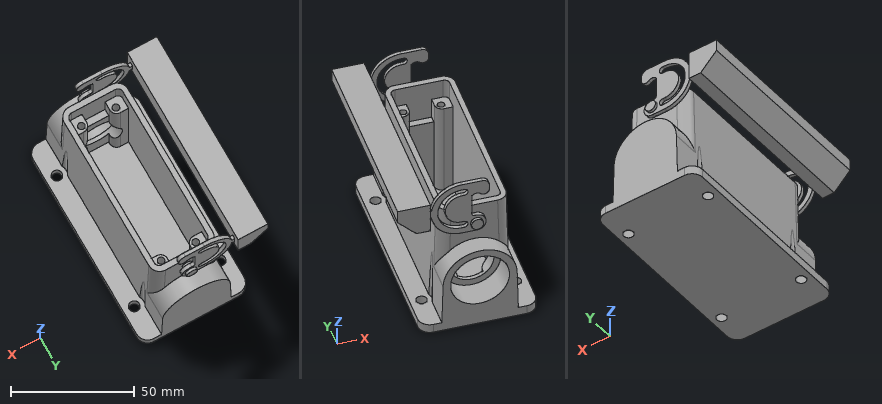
import cadquery as cq
import math

base_width = 50.1
base_length = 96.0
base_height = 4.2
base_corner_radius = 5.2
mount_hole_radius = 2.3
mount_hole_spacing_x = 40.0
mount_hole_spacing_y = 64.1
screw_relief_radius = 4.4

housing_top = 57.0
housing_length = 80.0
housing_corner_radius = 5.0
wall_draft = math.radians(1.5)

entry_height = 23.1
entry_outer_radius = 15.7
entry_bore_radius = 12.5
entry_bore_depth = 12.0
entry_hole_radius = 9.5

cavity_width = 24.8
cavity_length = 74.6
cavity_corner_radius = 2.2
floor_height = base_height
post_size = 7.0
post_inner_radius = 3.2
post_top = 48.0
post_hole_x = 8.1
post_hole_y = 33.0
post_hole_radius = 1.5
post_hole_depth = 9.6
ledge_depth = 3.1
ledge_top = 38.4

pivot_height = 50.1
pin_radius = 2.1
pin_head_radius = 2.6
pin_head_end = 44.4

arm_inner_y = 41.5
arm_thickness = 1.7
arm_outer_y = arm_inner_y + arm_thickness
arm_center_x = -6.3
arm_radius = 13.0
eye_radius = 4.0
eye_fillet = 1.2
arm_center_z = pivot_height - eye_radius + arm_radius
arm_front_x = -2.0
slot_outer_radius = 10.2
slot_width = 3.2
slot_end_x = -5.3
neck_height = 4.0

hook_front_x = 5.5
hook_top_radius = 3.1
hook_tip_radius = 2.3
hook_tip_z = 67.0
notch_radius = 2.4

bar_length = 92.1
bar_back_x = -34.5
bar_front_x = -20.5
bar_top = 67.0
bar_height = 13.8
bar_chamfer = 8.0


def wall_half_width(z):
    """Half width of the housing; its wall is tangent to the entry cylinder."""
    return (entry_outer_radius - (z - entry_height) * math.sin(wall_draft)) / math.cos(wall_draft)


def along_y(start, end):
    """Workplane for X-Z outlines at y = start, with the length to extrude to y = end."""
    return cq.Workplane("XZ", origin=(0, start, 0)), start - end


def y_cylinder(z, radius, start, end):
    plane, length = along_y(start, end)
    return plane.center(0, z).circle(radius).extrude(length)


def make_base():
    plate = cq.Workplane("XY").box(base_width, base_length, base_height, centered=(True, True, False))
    return plate.edges("|Z").fillet(base_corner_radius)


def make_upper_housing():
    half_bottom = wall_half_width(0)
    half_top = wall_half_width(housing_top)
    plane, length = along_y(-housing_length / 2, housing_length / 2)
    body = (
        plane.moveTo(-half_bottom, 0)
        .lineTo(half_bottom, 0)
        .lineTo(half_top, housing_top)
        .lineTo(-half_top, housing_top)
        .close()
        .extrude(length)
    )
    upright_corners = body.faces("<Y or >Y").edges("not(#Z)")
    return upright_corners.fillet(housing_corner_radius)


def make_entry_body():
    """Full-length lower body with a rounded top around the cable entry axis."""
    half_bottom = wall_half_width(0)
    tangent_x = entry_outer_radius * math.cos(wall_draft)
    tangent_z = entry_height + entry_outer_radius * math.sin(wall_draft)
    plane, length = along_y(-base_length / 2, base_length / 2)
    return (
        plane.moveTo(-half_bottom, 0)
        .lineTo(half_bottom, 0)
        .lineTo(tangent_x, tangent_z)
        .threePointArc((0, entry_height + entry_outer_radius), (-tangent_x, tangent_z))
        .close()
        .extrude(length)
    )


def make_cavity():
    """Hollow inside the housing, with the posts and ledges left standing."""
    cavity = (
        cq.Workplane("XY", origin=(0, 0, floor_height))
        .rect(cavity_width, cavity_length)
        .extrude(housing_top - floor_height)
        .edges("|Z")
        .fillet(cavity_corner_radius)
    )
    for side_x in (-1, 1):
        for side_y in (-1, 1):
            cavity = cavity.cut(make_post(side_x, side_y))
    for side_y in (-1, 1):
        ledge = (
            cq.Workplane("XY", origin=(0, side_y * (cavity_length - ledge_depth) / 2, 0))
            .rect(cavity_width - 2 * post_size, ledge_depth)
            .extrude(ledge_top)
        )
        cavity = cavity.cut(ledge)
    return cavity


def make_post(side_x, side_y):
    center_x = side_x * (cavity_width - post_size) / 2
    center_y = side_y * (cavity_length - post_size) / 2
    inner_x = "<X" if side_x > 0 else ">X"
    inner_y = "<Y" if side_y > 0 else ">Y"
    post = (
        cq.Workplane("XY", origin=(center_x, center_y, 0))
        .rect(post_size, post_size)
        .extrude(post_top)
        .edges("|Z")
        .edges(f"{inner_x} and {inner_y}")
        .fillet(post_inner_radius)
    )
    screw_hole = (
        cq.Workplane("XY", origin=(side_x * post_hole_x, side_y * post_hole_y, post_top))
        .circle(post_hole_radius)
        .extrude(-post_hole_depth)
    )
    return post.cut(screw_hole)


def cut_mounting_holes(body):
    """Drill the base and relieve the housing walls above each hole for the screw heads."""
    holes = (
        cq.Workplane("XY")
        .rarray(mount_hole_spacing_x, mount_hole_spacing_y, 2, 2)
        .circle(mount_hole_radius)
        .extrude(base_height)
    )
    reliefs = (
        cq.Workplane("XY", origin=(0, 0, base_height))
        .rarray(mount_hole_spacing_x, mount_hole_spacing_y, 2, 2)
        .circle(screw_relief_radius)
        .extrude(housing_top)
    )
    return body.cut(holes).cut(reliefs)


def cut_cable_entry(body):
    """Open the -Y end; the +Y end stays closed."""
    end_face = -base_length / 2
    cavity_end = -cavity_length / 2 + post_size
    bore = y_cylinder(entry_height, entry_bore_radius, end_face, end_face + entry_bore_depth)
    hole = y_cylinder(entry_height, entry_hole_radius, end_face, cavity_end)
    return body.cut(bore).cut(hole)


def arm_outline(plane):
    """Side arm: round back, hook at the upper front, pivot eye at the lower front."""
    top = arm_center_z + arm_radius
    bottom = arm_center_z - arm_radius

    fillet_x = arm_front_x + eye_fillet
    fillet_z = pivot_height + math.sqrt((eye_radius + eye_fillet) ** 2 - fillet_x**2)
    fillet_angle = math.atan2(fillet_z - pivot_height, fillet_x)
    eye_start = (
        eye_radius * math.cos(fillet_angle),
        pivot_height + eye_radius * math.sin(fillet_angle),
    )
    fillet_mid_angle = math.pi + fillet_angle / 2
    fillet_mid = (
        fillet_x + eye_fillet * math.cos(fillet_mid_angle),
        fillet_z + eye_fillet * math.sin(fillet_mid_angle),
    )

    tip_x = hook_front_x - hook_tip_radius
    notch_z = hook_tip_z - math.sqrt((notch_radius + hook_tip_radius) ** 2 - tip_x**2)
    notch_angle = math.atan2(hook_tip_z - notch_z, tip_x)
    notch_end = (
        notch_radius * math.cos(notch_angle),
        notch_z + notch_radius * math.sin(notch_angle),
    )
    notch_start_z = notch_z + math.sqrt(notch_radius**2 - arm_front_x**2)

    hook_round_x = hook_front_x - hook_top_radius
    diagonal = math.sqrt(0.5)
    return (
        plane.moveTo(arm_center_x, bottom)
        .threePointArc((arm_center_x - arm_radius, arm_center_z), (arm_center_x, top))
        .lineTo(hook_round_x, top)
        .threePointArc(
            (hook_round_x + hook_top_radius * diagonal, top - hook_top_radius * (1 - diagonal)),
            (hook_front_x, top - hook_top_radius),
        )
        .lineTo(hook_front_x, hook_tip_z)
        .threePointArc((tip_x, hook_tip_z - hook_tip_radius), notch_end)
        .threePointArc((0, notch_z + notch_radius), (arm_front_x, notch_start_z))
        .lineTo(arm_front_x, fillet_z)
        .threePointArc(fillet_mid, eye_start)
        .threePointArc((eye_radius, pivot_height), (0, bottom))
        .close()
    )


def slot_outline(plane):
    """Curved slot following the round back of the arm, with rounded ends."""
    inner_radius = slot_outer_radius - slot_width
    middle_radius = slot_outer_radius - slot_width / 2
    end_x = slot_end_x + slot_width / 2
    top = arm_center_z + slot_outer_radius
    bottom = arm_center_z - slot_outer_radius
    return (
        plane.moveTo(arm_center_x, bottom)
        .threePointArc((arm_center_x - slot_outer_radius, arm_center_z), (arm_center_x, top))
        .lineTo(slot_end_x, top)
        .threePointArc((end_x, arm_center_z + middle_radius), (slot_end_x, top - slot_width))
        .lineTo(arm_center_x, top - slot_width)
        .threePointArc(
            (arm_center_x - inner_radius, arm_center_z),
            (arm_center_x, bottom + slot_width),
        )
        .lineTo(slot_end_x, bottom + slot_width)
        .threePointArc((end_x, arm_center_z - middle_radius), (slot_end_x, bottom))
        .close()
    )


def make_arm(side):
    """Side arm with its neck and pivot pin at the +Y (side = 1) or -Y (side = -1) end."""
    plane, length = along_y(side * arm_inner_y, side * arm_outer_y)
    arm = arm_outline(plane).extrude(length)
    neck_end = arm_center_x - (arm_radius + slot_outer_radius) / 2
    neck = (
        plane.center((bar_front_x + neck_end) / 2, arm_center_z)
        .rect(neck_end - bar_front_x, neck_height)
        .extrude(length)
    )
    slot = slot_outline(plane).extrude(length)
    pin = y_cylinder(pivot_height, pin_radius, side * cavity_length / 2, side * arm_outer_y)
    pin_head = y_cylinder(pivot_height, pin_head_radius, side * arm_outer_y, side * pin_head_end)
    return arm.union(neck).cut(slot).union(pin).union(pin_head)


def make_bar():
    bar_bottom = bar_top - bar_height
    plane, length = along_y(-bar_length / 2, bar_length / 2)
    return (
        plane.moveTo(bar_front_x, bar_bottom)
        .lineTo(bar_front_x, bar_top)
        .lineTo(bar_back_x, bar_top)
        .lineTo(bar_back_x, bar_bottom + bar_chamfer)
        .lineTo(bar_back_x + bar_chamfer, bar_bottom)
        .close()
        .extrude(length)
    )


housing = make_base().union(make_upper_housing()).union(make_entry_body())
housing = cut_mounting_holes(housing)
housing = housing.cut(make_cavity())
housing = cut_cable_entry(housing)

result = housing.union(make_arm(-1)).union(make_arm(1)).union(make_bar())